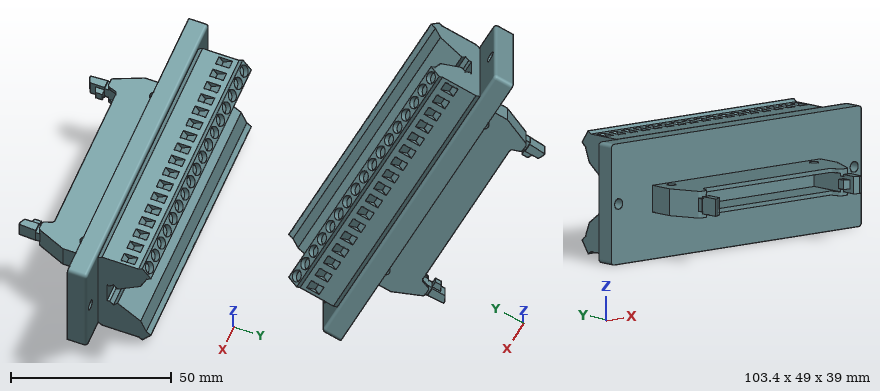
import cadquery as cq
import math


panel_length = 103.4
panel_height = 38.3
panel_thickness = 6.6
panel_corner_radius = 1.2
panel_back_radius = 1.0
mount_hole_diameter = 3.3
mount_hole_x = 48.7

overall_height = 39.0
pole_count = 17
block_length = 85.0
pole_pitch = block_length / pole_count
root_y = 9.7
block_inner_z = 4.1
block_outer_z = 18.6
notch_start_y = 10.7
notch_y = 11.9
notch_z = 5.5
barb_y = 13.2
barb_z = 3.8
flare_y = 21.0
flare_z = 9.5
throat_y = 22.9
throat_z = 14.2
lip_start_y = 20.3
crest_y = 21.5
crest_z = overall_height / 2
tip_y = 24.4
tip_z = 15.5
root_chamfer_depth = 1.4
root_chamfer_height = 1.0

pocket_width = 2.8
pocket_front_y = 14.0
pocket_bottom_y = 15.4
pocket_back_y = 18.5
pocket_depth = 2.1
screw_diameter = 3.8
screw_depth = 1.9

header_half_length = 34.7
header_height = 8.5
header_straight = 8.2
header_face = 14.4
ear_end = 17.8
ear_outer_x = 30.6
ear_inner_x = 27.6
ear_foot_x = 26.5
ear_edge_radius = 0.9
ear_foot_radius = 1.0
slot_half_length = 27.7
slot_height = 5.9
slot_depth = 9.3
key_hole_diameter = 2.8
key_hole_x = 29.5
key_hole_depth = 3.0

neck_outer_x = 30.8
neck_height = 4.1
latch_inner_x = slot_half_length
latch_start = 18.9
latch_end = 24.6
latch_height = 5.5
latch_outer_x = 30.5
latch_tip_outer_x = 30.2
latch_tip_inner_x = 29.5
latch_bevel_start = 23.7
hook_height = 2.9
hook_tip_x = 25.7
hook_tip_end = 21.1
hook_root_end = 22.0


def prism_along_z(points, height):
    """Extrude an XY outline symmetrically about Z = 0."""
    return cq.Workplane("XY").polyline(points).close().extrude(height / 2, both=True)


def prism_along_x(points, length):
    """Extrude a YZ outline symmetrically about X = 0."""
    return cq.Workplane("YZ").polyline(points).close().extrude(length / 2, both=True)


def with_mirror(body, plane):
    return body.union(body.mirror(plane))


def make_panel():
    panel = cq.Workplane("XZ").rect(panel_length, panel_height).extrude(-panel_thickness)
    panel = panel.edges("|Y").fillet(panel_corner_radius)
    return panel.faces(">Y").edges().fillet(panel_back_radius)


def make_upper_block():
    profile = [
        (panel_thickness - panel_back_radius, 0),
        (root_y, 0),
        (root_y, block_inner_z),
        (notch_start_y, block_inner_z),
        (notch_y, notch_z),
        (barb_y, barb_z),
        (flare_y, flare_z),
        (throat_y, throat_z),
        (tip_y, tip_z),
        (crest_y, crest_z),
        (lip_start_y, block_outer_z),
        (panel_thickness + root_chamfer_depth, block_outer_z),
        (panel_thickness, block_outer_z - root_chamfer_height),
        (panel_thickness - panel_back_radius, block_outer_z - root_chamfer_height),
    ]
    block = prism_along_x(profile, block_length)

    pocket = prism_along_x(
        [
            (pocket_front_y, block_outer_z),
            (pocket_bottom_y, block_outer_z - pocket_depth),
            (pocket_back_y, block_outer_z),
        ],
        pocket_width,
    )
    tip_to_crest = math.hypot(crest_y - tip_y, crest_z - tip_z)
    inward = cq.Vector(0, tip_z - crest_z, crest_y - tip_y) / tip_to_crest
    screw_centre = cq.Vector(0, (tip_y + crest_y) / 2, (tip_z + crest_z) / 2)
    screw = cq.Workplane(
        cq.Solid.makeCylinder(screw_diameter / 2, screw_depth, screw_centre, inward)
    )
    for pole in range(pole_count):
        pole_x = (pole - (pole_count - 1) / 2) * pole_pitch
        block = block.cut(pocket.translate((pole_x, 0, 0)))
        block = block.cut(screw.translate((pole_x, 0, 0)))
    return block


def make_header():
    right_side = [
        (header_half_length, 0),
        (header_half_length, -header_straight),
        (ear_outer_x, -ear_end),
        (ear_inner_x, -ear_end),
        (ear_foot_x, -header_face),
    ]
    left_side = [(-x, y) for x, y in reversed(right_side)]
    header = prism_along_z(right_side + left_side, header_height)

    ear_edges = [(x, -ear_end) for x in (ear_outer_x, ear_inner_x)]
    foot_edges = [(ear_foot_x, -header_face)]
    for corners, radius in ((ear_edges, ear_edge_radius), (foot_edges, ear_foot_radius)):
        for x, y in corners:
            for side in (-1, 1):
                edge = cq.selectors.NearestToPointSelector((side * x, y, 0))
                header = header.edges("|Z").edges(edge).fillet(radius)

    slot = cq.Workplane("XY").box(
        2 * slot_half_length, ear_end - header_face + slot_depth, slot_height
    )
    slot = slot.translate((0, -(ear_end + header_face - slot_depth) / 2, 0))
    header = header.cut(slot)

    key_holes = (
        cq.Workplane("XY")
        .pushPoints([(side * key_hole_x, -key_hole_depth) for side in (-1, 1)])
        .circle(key_hole_diameter / 2)
        .extrude(header_height, both=True)
    )
    return header.cut(key_holes)


def make_right_latch():
    neck = prism_along_z(
        [
            (latch_inner_x, -header_face),
            (neck_outer_x, -header_face),
            (neck_outer_x, -latch_start),
            (latch_inner_x, -latch_start),
        ],
        neck_height,
    )
    head = prism_along_z(
        [
            (latch_inner_x, -latch_start),
            (latch_outer_x, -latch_start),
            (latch_tip_outer_x, -latch_end),
            (latch_tip_inner_x, -latch_end),
            (latch_inner_x, -latch_bevel_start),
        ],
        latch_height,
    )
    hook = prism_along_z(
        [
            (latch_inner_x, -latch_start),
            (hook_tip_x, -latch_start),
            (hook_tip_x, -hook_tip_end),
            (latch_inner_x, -hook_root_end),
        ],
        hook_height,
    )
    return neck.union(head).union(hook)


mount_holes = (
    cq.Workplane("XZ")
    .pushPoints([(side * mount_hole_x, 0) for side in (-1, 1)])
    .circle(mount_hole_diameter / 2)
    .extrude(-panel_thickness)
)

result = (
    make_panel()
    .cut(mount_holes)
    .union(with_mirror(make_upper_block(), "XY"))
    .union(make_header())
    .union(with_mirror(make_right_latch(), "YZ"))
)